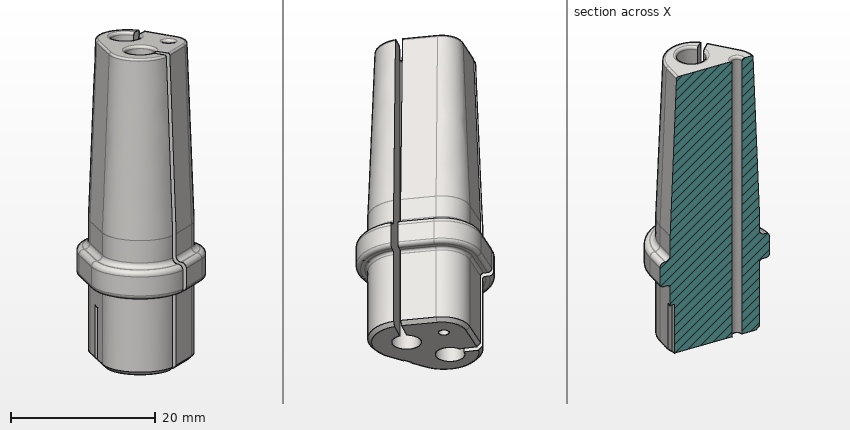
import cadquery as cq
import math

HEIGHT = 45.5
WIDTH = 19.97
DEPTH = 17.2

LOBE_X = 2.95
FLANK_ANGLE = 48.0
COLLAR_RADIUS = WIDTH / 2 - LOBE_X
COLLAR_STEP = 1.6
BODY_RADIUS = COLLAR_RADIUS - COLLAR_STEP
TIP_INSET = 1.0

COLLAR_BOTTOM = 11.45
COLLAR_TOP = 15.55
TAPER_START = 19.55

BASE_CHAMFER = 0.55
TIP_FILLET = 0.3
COLLAR_TOP_FILLET = 0.77
COLLAR_BOTTOM_FILLET = 0.6
NECK_TOP_FILLET = 0.77
NECK_BOTTOM_FILLET = 0.4

BORE_DIAMETER = 4.1
LEFT_BORE_X = -4.0
RIGHT_BORE_X = 3.0
PIN_DIAMETER = 1.5
PIN_Y = 5.05
HOLE_FLARE = 0.4
SLIT_WIDTH = 1.0
SLIT_ANGLE = 45.0
KEY_WIDTH = 1.27
KEY_HEIGHT = 8.05
KEY_DEPTH = 0.7

flank_cos = math.cos(math.radians(FLANK_ANGLE))
flank_sin = math.sin(math.radians(FLANK_ANGLE))
collar_rear_y = DEPTH - COLLAR_RADIUS
flank_distance = COLLAR_RADIUS + LOBE_X * flank_cos
rear_radius_collar = (flank_distance - collar_rear_y * flank_sin) / (1 - flank_sin)
rear_center_y = collar_rear_y - rear_radius_collar
rear_radius_offset = rear_radius_collar - COLLAR_RADIUS


def section(z, lobe_radius):
    """Closed outline at height z, offset so the front lobes have lobe_radius."""
    rear_radius = lobe_radius + rear_radius_offset
    lobe_end = (LOBE_X + lobe_radius * flank_cos, lobe_radius * flank_sin)
    rear_end = (rear_radius * flank_cos, rear_center_y + rear_radius * flank_sin)
    return (
        cq.Workplane("XY", origin=(0, 0, z))
        .moveTo(-LOBE_X, -lobe_radius)
        .lineTo(LOBE_X, -lobe_radius)
        .threePointArc((LOBE_X + lobe_radius, 0), lobe_end)
        .lineTo(*rear_end)
        .threePointArc((0, rear_center_y + rear_radius), (-rear_end[0], rear_end[1]))
        .lineTo(-lobe_end[0], lobe_end[1])
        .threePointArc((-LOBE_X - lobe_radius, 0), (-LOBE_X, -lobe_radius))
        .close()
    )


def prism(bottom, top, lobe_radius):
    return section(bottom, lobe_radius).extrude(top - bottom)


def tapered_tip():
    lower = section(TAPER_START, BODY_RADIUS).val()
    upper = section(HEIGHT, BODY_RADIUS - TIP_INSET).val()
    tip = cq.Workplane(cq.Solid.makeLoft([lower, upper], True))
    return tip.faces(">Z").edges().fillet(TIP_FILLET)


def front_edge(body, z):
    """The straight front edge of the body outline at height z."""
    margin = 0.05
    box = cq.selectors.BoxSelector(
        (-LOBE_X, -BODY_RADIUS - margin, z - margin),
        (LOBE_X, -BODY_RADIUS + margin, z + margin),
    )
    return body.edges(box)


def outer_body():
    base = prism(0, COLLAR_BOTTOM, BODY_RADIUS).faces("<Z").chamfer(BASE_CHAMFER)
    collar = prism(COLLAR_BOTTOM, COLLAR_TOP, COLLAR_RADIUS)
    collar = collar.faces(">Z").edges().fillet(COLLAR_TOP_FILLET)
    collar = collar.faces("<Z").edges().fillet(COLLAR_BOTTOM_FILLET)
    neck = prism(COLLAR_TOP, TAPER_START, BODY_RADIUS)
    body = base.union(collar).union(neck)
    body = front_edge(body, COLLAR_TOP).fillet(NECK_TOP_FILLET)
    body = front_edge(body, COLLAR_BOTTOM).fillet(NECK_BOTTOM_FILLET)
    return body.union(tapered_tip())


def flared_hole(x, y, diameter):
    """Cutter for a through hole whose upper mouth is rounded outwards."""
    radius = diameter / 2
    flare_start = HEIGHT - HOLE_FLARE
    bulge = HOLE_FLARE * (1 - math.sqrt(0.5))
    profile = (
        cq.Workplane("XZ")
        .lineTo(radius, 0)
        .lineTo(radius, flare_start)
        .threePointArc((radius + bulge, HEIGHT - bulge), (radius + HOLE_FLARE, HEIGHT))
        .lineTo(0, HEIGHT)
        .close()
    )
    return profile.revolve(360, (0, 0), (0, 1)).translate((x, y, 0))


def slit(side):
    """Cutter from a bore out through the flank; side is -1 or 1."""
    length = WIDTH / 2
    blade = cq.Workplane("XY").box(length, SLIT_WIDTH, HEIGHT, centered=(False, True, False))
    angle = SLIT_ANGLE if side > 0 else 180 - SLIT_ANGLE
    return blade.rotate((0, 0, 0), (0, 0, 1), angle).translate((side * LOBE_X, 0, 0))


def key_slot():
    cutter = cq.Workplane("XY").box(KEY_WIDTH, KEY_DEPTH, KEY_HEIGHT, centered=(True, False, False))
    return cutter.translate((0, -BODY_RADIUS, 0))


result = outer_body().cut(flared_hole(0, PIN_Y, PIN_DIAMETER)).cut(key_slot())
for side, bore_x in ((-1, LEFT_BORE_X), (1, RIGHT_BORE_X)):
    result = result.cut(flared_hole(bore_x, 0, BORE_DIAMETER)).cut(slit(side))